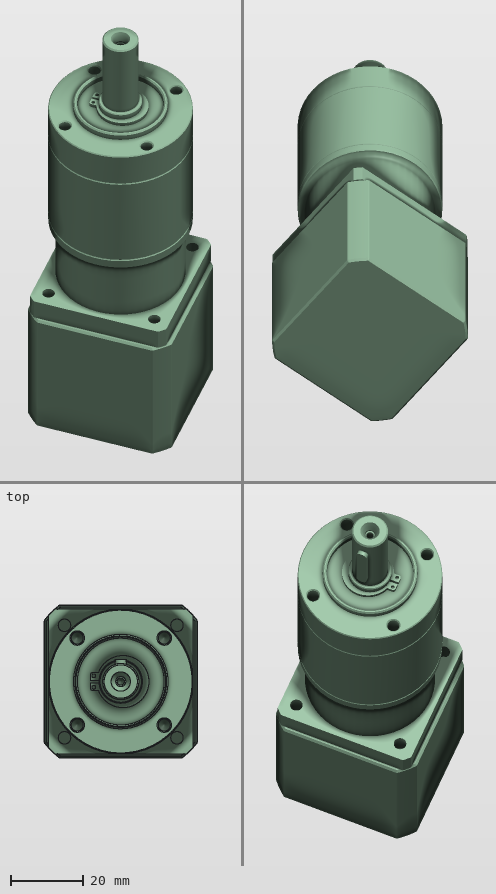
import cadquery as cq
import math

turned_radius = 27.0

motor_side = 42.3
motor_height = 40.0
motor_corner_blend = 0.8
motor_rim_chamfer = 0.6

flange_side = 40.0
flange_thickness = 6.0
flange_hole_pitch = 31.0
flange_hole_diameter = 3.5

neck_radius = 18.0
casing_radius = 20.0
casing_bottom = 65.3
casing_top = 107.3
casing_chamfer = 0.3
neck_fillet = 1.6
lower_groove_height = 68.2
upper_groove_height = 97.0
joint_groove_half_width = 0.3
joint_groove_depth = 0.3

face_hole_circle_diameter = 34.0
face_hole_mouth_diameter = 4.0
face_hole_diameter = 3.3
face_hole_depth = 10.0
drill_point_angle = 118

rim_outer_radius = 13.0
rim_inner_radius = 12.0
rim_height = 2.0
rim_chamfer = 0.4
collar_radius = 6.0
collar_height = 2.9
collar_chamfer = 0.3

ring_radius = 7.2
ring_offset = 0.6
ring_thickness = 1.0
lug_reach = 8.4
lug_width = 4.9
lug_corner_fillet = 0.7
lug_gap = 0.7
lug_hole_diameter = 1.0
lug_hole_spacing = 3.2
lug_hole_reach = 7.5

shaft_top = 133.3
shaft_radius = 10.0 / 2
shaft_chamfer = 0.4
centre_mouth_diameter = 5.3
centre_bore_diameter = 2.8
centre_bore_depth = 2.7
centre_core_diameter = 2.0
centre_core_depth = 9.0
centre_mouth_angle = 60
key_width = 3.0
key_length = 16.0
key_top_gap = 3.3
key_crown = 6.1

flange_top = motor_height + flange_thickness
rim_top = casing_top + rim_height
collar_top = casing_top + collar_height
ring_top = casing_top + ring_thickness


def cylinder(radius, bottom, top):
    return cq.Workplane("XY").workplane(offset=bottom).circle(radius).extrude(top - bottom)


def revolved(outline):
    """Solid of revolution about Z from (radius, height) points."""
    return cq.Workplane("XZ").polyline(outline).close().revolve(360, (0, 0), (0, 1))


def cone_depth(wide_radius, narrow_radius, full_angle):
    return (wide_radius - narrow_radius) / math.tan(math.radians(full_angle / 2))


def turned_square(side, bottom, height):
    """Square block whose corners are turned to a cylinder about the axis."""
    block = cq.Workplane("XY").workplane(offset=bottom).rect(side, side).extrude(height)
    return block.intersect(cylinder(turned_radius, bottom, bottom + height))


def make_motor():
    body = turned_square(motor_side, 0, motor_height)
    body = body.edges("|Z").fillet(motor_corner_blend)
    return body.faces("<Z or >Z").edges().chamfer(motor_rim_chamfer)


def make_flange():
    return (
        turned_square(flange_side, motor_height, flange_thickness)
        .faces(">Z")
        .workplane()
        .rect(flange_hole_pitch, flange_hole_pitch, forConstruction=True)
        .vertices()
        .hole(flange_hole_diameter)
    )


def face_hole_cutter():
    """Drilled hole with a 45-degree countersunk mouth and a conical drill point."""
    mouth = face_hole_mouth_diameter / 2
    radius = face_hole_diameter / 2
    bottom = casing_top - face_hole_depth
    return revolved([
        (0, casing_top),
        (mouth, casing_top),
        (radius, casing_top - (mouth - radius)),
        (radius, bottom),
        (0, bottom - cone_depth(radius, 0, drill_point_angle)),
    ])


def centre_hole_cutter():
    """Centre hole: conical mouth, short clearance bore, then the core hole."""
    mouth = centre_mouth_diameter / 2
    bore = centre_bore_diameter / 2
    core = centre_core_diameter / 2
    bore_bottom = shaft_top - centre_bore_depth
    core_bottom = shaft_top - centre_core_depth
    return revolved([
        (0, shaft_top),
        (mouth, shaft_top),
        (bore, shaft_top - cone_depth(mouth, bore, centre_mouth_angle)),
        (bore, bore_bottom),
        (core, bore_bottom),
        (core, core_bottom),
        (0, core_bottom - cone_depth(core, 0, drill_point_angle)),
    ])


def joint_groove(height):
    """V-shaped ring cutter marking a joint in the casing wall."""
    return revolved([
        (casing_radius, height - joint_groove_half_width),
        (casing_radius - joint_groove_depth, height),
        (casing_radius, height + joint_groove_half_width),
    ])


def make_casing():
    step_radius = neck_radius + neck_fillet
    profile = (
        cq.Workplane("XZ")
        .moveTo(0, flange_top)
        .lineTo(neck_radius, flange_top)
        .lineTo(neck_radius, casing_bottom - neck_fillet)
        .radiusArc((step_radius, casing_bottom), neck_fillet)
        .lineTo(casing_radius - casing_chamfer, casing_bottom)
        .lineTo(casing_radius, casing_bottom + casing_chamfer)
        .lineTo(casing_radius, casing_top - casing_chamfer)
        .lineTo(casing_radius - casing_chamfer, casing_top)
        .lineTo(0, casing_top)
        .close()
    )
    casing = profile.revolve(360, (0, 0), (0, 1))
    for height in (lower_groove_height, upper_groove_height):
        casing = casing.cut(joint_groove(height))
    hole = face_hole_cutter().translate((face_hole_circle_diameter / 2, 0, 0))
    for angle in (45, 135, 225, 315):
        casing = casing.cut(hole.rotate((0, 0, 0), (0, 0, 1), angle))
    return casing


def make_rim():
    rim = cylinder(rim_outer_radius, casing_top, rim_top)
    rim = rim.cut(cylinder(rim_inner_radius, casing_top, rim_top))
    return rim.faces(">Z").edges().chamfer(rim_chamfer)


def make_retaining_ring():
    disc = cylinder(ring_radius, casing_top, ring_top).translate((ring_offset, 0, 0))
    base = cq.Workplane("XY").workplane(offset=casing_top)
    lugs = (
        base.center(-lug_reach / 2, 0)
        .rect(lug_reach, lug_width)
        .extrude(ring_thickness)
        .edges("|Z and <X")
        .fillet(lug_corner_fillet)
    )
    gap = base.center(-lug_reach / 2, 0).rect(lug_reach, lug_gap).extrude(ring_thickness)
    holes = (
        base.pushPoints([(-lug_hole_reach, side * lug_hole_spacing / 2) for side in (-1, 1)])
        .circle(lug_hole_diameter / 2)
        .extrude(ring_thickness)
    )
    return disc.union(lugs).cut(gap).cut(holes)


def make_shaft():
    shaft = cylinder(shaft_radius, casing_top, shaft_top)
    shaft = shaft.faces(">Z").edges().chamfer(shaft_chamfer)
    shaft = shaft.cut(centre_hole_cutter())
    key_middle = shaft_top - key_top_gap - key_length / 2
    key_height = key_crown - shaft_radius + key_width / 2
    key = (
        cq.Workplane("XZ", origin=(0, key_crown, 0))
        .center(0, key_middle)
        .slot2D(key_length, key_width, 90)
        .extrude(key_height)
    )
    return shaft.union(key)


def make_gearbox():
    collar = cylinder(collar_radius, casing_top, collar_top)
    collar = collar.faces(">Z").edges().chamfer(collar_chamfer)
    gearbox = make_flange()
    for feature in (make_casing(), make_rim(), make_retaining_ring(), collar, make_shaft()):
        gearbox = gearbox.union(feature)
    return gearbox


motor = make_motor()
gearbox = make_gearbox()
result = cq.Compound.makeCompound([motor.solids().val(), gearbox.solids().val()])